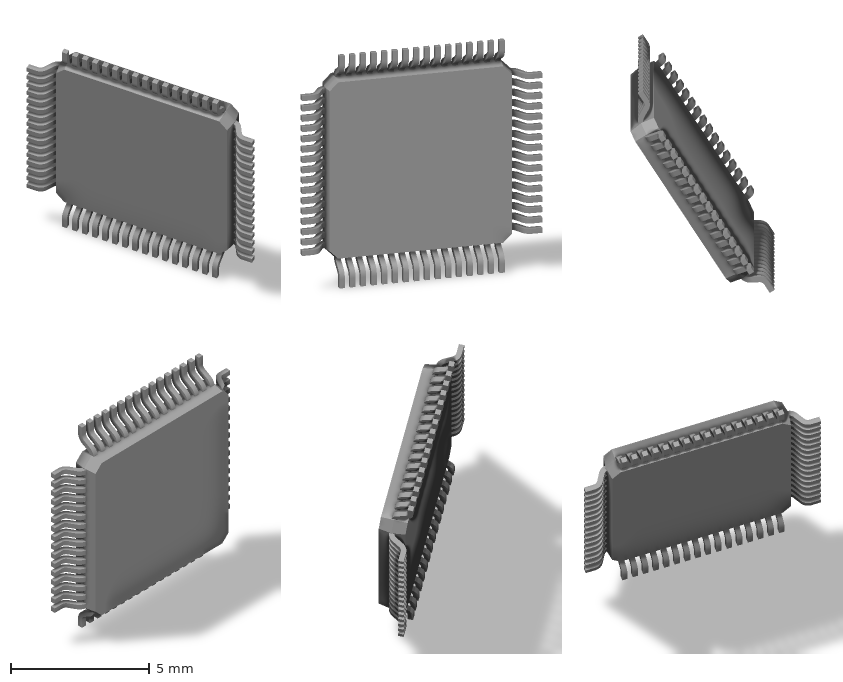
import cadquery as cq
import math

body_width = 7.0
body_thickness = 1.0
body_standoff = 0.2
corner_chamfer = 0.37
draft_angle = 9.5
half_thickness = body_thickness / 2
parting_height = body_standoff + half_thickness

lead_span = 9.0
lead_pitch = 0.4
leads_per_side = 16
lead_width = 0.2
lead_thickness = 0.2
foot_length = 0.37
inner_bend_radius = 0.2
outer_bend_radius = inner_bend_radius + lead_thickness
bend_angle = math.radians(60)
lead_embed = 0.2


def body_half(direction):
    """Drafted half of the body, from the parting plane along +Y (1) or -Y (-1)."""
    half_width = body_width / 2
    flat_end = half_width - corner_chamfer
    octagon = [
        (flat_end, half_width),
        (-flat_end, half_width),
        (-half_width, flat_end),
        (-half_width, -flat_end),
        (-flat_end, -half_width),
        (flat_end, -half_width),
        (half_width, -flat_end),
        (half_width, flat_end),
    ]
    parting_plane = cq.Plane(origin=(0, parting_height, 0), xDir=(1, 0, 0), normal=(0, direction, 0))
    return cq.Workplane(parting_plane).polyline(octagon).close().extrude(half_thickness, taper=draft_angle)


def bend_point(center, radius, angle):
    """Point on a bend, with the angle measured from the +Y direction towards +X."""
    return (center[0] + radius * math.sin(angle), center[1] + radius * math.cos(angle))


def gull_wing_lead():
    """Lead leaving the +X side of the body, centred on Z = 0."""
    tip_x = lead_span / 2
    foot_start_x = tip_x - foot_length
    shoulder_top = parting_height + lead_thickness / 2
    shoulder_bottom = shoulder_top - lead_thickness

    bends_drop = (inner_bend_radius + outer_bend_radius) * (1 - math.cos(bend_angle))
    bends_run = (inner_bend_radius + outer_bend_radius) * math.sin(bend_angle)
    slope_run = (shoulder_bottom - bends_drop) / math.tan(bend_angle)
    shoulder_end_x = foot_start_x - bends_run - slope_run
    root_x = body_width / 2 - lead_embed

    upper_center = (shoulder_end_x, shoulder_top - outer_bend_radius)
    lower_center = (foot_start_x, outer_bend_radius)
    lower_mid = math.pi + bend_angle / 2
    lower_end = math.pi + bend_angle

    return (
        cq.Workplane("XY")
        .moveTo(root_x, shoulder_top)
        .lineTo(shoulder_end_x, shoulder_top)
        .threePointArc(
            bend_point(upper_center, outer_bend_radius, bend_angle / 2),
            bend_point(upper_center, outer_bend_radius, bend_angle),
        )
        .lineTo(*bend_point(lower_center, inner_bend_radius, lower_end))
        .threePointArc(
            bend_point(lower_center, inner_bend_radius, lower_mid),
            (foot_start_x, lead_thickness),
        )
        .lineTo(tip_x, lead_thickness)
        .lineTo(tip_x, 0)
        .lineTo(foot_start_x, 0)
        .threePointArc(
            bend_point(lower_center, outer_bend_radius, lower_mid),
            bend_point(lower_center, outer_bend_radius, lower_end),
        )
        .lineTo(*bend_point(upper_center, inner_bend_radius, bend_angle))
        .threePointArc(
            bend_point(upper_center, inner_bend_radius, bend_angle / 2),
            (shoulder_end_x, shoulder_bottom),
        )
        .lineTo(root_x, shoulder_bottom)
        .close()
        .extrude(lead_width / 2, both=True)
    )


def all_leads():
    """Four rows of leads, one row on each side of the body."""
    lead = gull_wing_lead().val()
    row_start = -(leads_per_side - 1) * lead_pitch / 2
    leads = []
    for side_angle in (0, 90, 180, 270):
        for index in range(leads_per_side):
            placed = lead.translate(cq.Vector(0, 0, row_start + index * lead_pitch))
            leads.append(placed.rotate(cq.Vector(0, 0, 0), cq.Vector(0, 1, 0), side_angle))
    return leads


body = body_half(1).union(body_half(-1))
result = cq.Workplane("XY").newObject([body.val().fuse(*all_leads())])